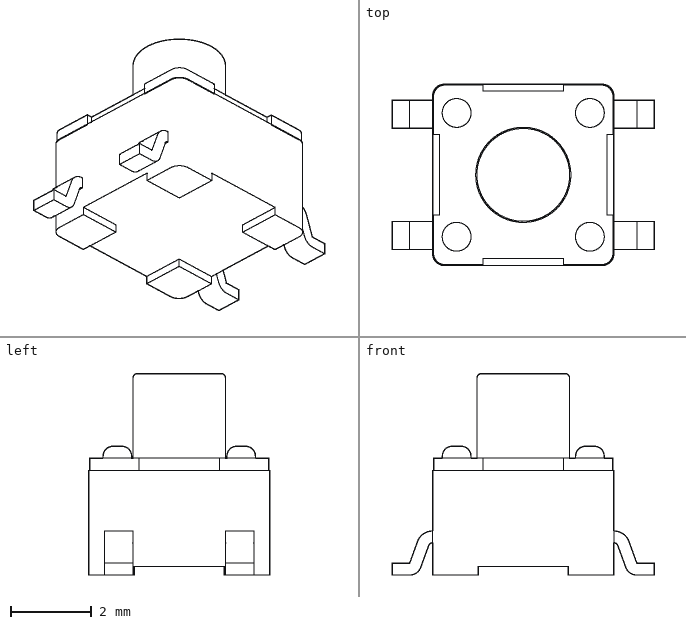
import cadquery as cq
import math


overall_length = 6.5
overall_height = 5.0
body_side = 4.5
body_height = 2.6
corner_radius = 0.3
channel_width = 2.22
channel_depth = 0.215

cover_thickness = 0.3
cover_inset = 0.025
cover_notch_width = 2.0
cover_notch_depth = 0.15
cover_hole_diameter = 2.36

button_diameter = 2.3
button_edge_radius = 0.12

rivet_diameter = 0.715
rivet_height = 0.3
rivet_edge_radius = 0.25
rivet_x = 1.65
rivet_y = 1.535

lead_thickness = 0.3
lead_width = 0.7
lead_y = 1.5
lead_top = 1.1
lead_slope_deg = 70.0
lead_inner_radius = 0.1
lead_embed = 0.13

cover_side = body_side - 2 * cover_inset
cover_top = body_height + cover_thickness


def make_body():
    """Rounded square block with two crossing channels across its underside."""
    body = (
        cq.Workplane("XY")
        .rect(body_side, body_side)
        .extrude(body_height)
        .edges("|Z")
        .fillet(corner_radius)
    )
    for size in ((channel_width, body_side), (body_side, channel_width)):
        body = body.cut(cq.Workplane("XY").rect(*size).extrude(channel_depth))
    return body


def make_cover():
    """Plate with a clearance hole for the button and a notch in each side."""
    cover = (
        cq.Workplane("XY", origin=(0, 0, body_height))
        .rect(cover_side, cover_side)
        .extrude(cover_thickness)
        .edges("|Z")
        .fillet(corner_radius - cover_inset)
        .faces(">Z")
        .workplane()
        .hole(cover_hole_diameter)
    )
    notch = (
        cq.Workplane("XY", origin=(0, 0, body_height))
        .center(cover_side / 2, 0)
        .rect(2 * cover_notch_depth, cover_notch_width)
        .extrude(cover_thickness)
    )
    for angle in (0, 90, 180, 270):
        cover = cover.cut(notch.rotate((0, 0, 0), (0, 0, 1), angle))
    return cover


def make_button():
    """Round button rising from the body through the cover hole."""
    return (
        cq.Workplane("XY", origin=(0, 0, body_height))
        .circle(button_diameter / 2)
        .extrude(overall_height - body_height)
        .faces(">Z")
        .edges()
        .fillet(button_edge_radius)
    )


def make_rivets():
    """Four domed rivet heads on the cover."""
    return (
        cq.Workplane("XY", origin=(0, 0, cover_top))
        .rect(2 * rivet_x, 2 * rivet_y, forConstruction=True)
        .vertices()
        .circle(rivet_diameter / 2)
        .extrude(rivet_height)
        .faces(">Z")
        .edges()
        .fillet(rivet_edge_radius)
    )


def make_lead(y_centre):
    """Gull-wing lead on the +X side: out of the body, down a slope, then a flat foot."""
    slope = math.radians(lead_slope_deg)
    lead_outer_radius = lead_inner_radius + lead_thickness
    root_x = body_side / 2 - lead_embed
    tip_x = overall_length / 2

    bend_x = body_side / 2
    bend_z = lead_top - lead_outer_radius

    def on_bend(radius, angle):
        """Point on the upper bend, turned by an angle from straight up toward +X."""
        return (bend_x + radius * math.sin(angle), bend_z + radius * math.cos(angle))

    slope_start_x, slope_start_z = on_bend(lead_outer_radius, slope)
    foot_x = slope_start_x + (slope_start_z - lead_thickness) / math.tan(slope)

    def on_heel(angle):
        """Point on the lower bend, turned by an angle from straight down toward -X."""
        return (
            foot_x - lead_thickness * math.sin(angle),
            lead_thickness - lead_thickness * math.cos(angle),
        )

    return (
        cq.Workplane("XZ", origin=(0, y_centre + lead_width / 2, 0))
        .moveTo(root_x, lead_top)
        .lineTo(bend_x, lead_top)
        .threePointArc(on_bend(lead_outer_radius, slope / 2), (slope_start_x, slope_start_z))
        .lineTo(foot_x, lead_thickness)
        .lineTo(tip_x, lead_thickness)
        .lineTo(tip_x, 0)
        .lineTo(foot_x, 0)
        .threePointArc(on_heel(slope / 2), on_heel(slope))
        .lineTo(*on_bend(lead_inner_radius, slope))
        .threePointArc(on_bend(lead_inner_radius, slope / 2), on_bend(lead_inner_radius, 0))
        .lineTo(root_x, lead_top - lead_thickness)
        .close()
        .extrude(lead_width)
    )


result = make_body().union(make_cover()).union(make_button()).union(make_rivets())
for y_centre in (-lead_y, lead_y):
    lead = make_lead(y_centre)
    result = result.union(lead).union(lead.mirror("YZ"))